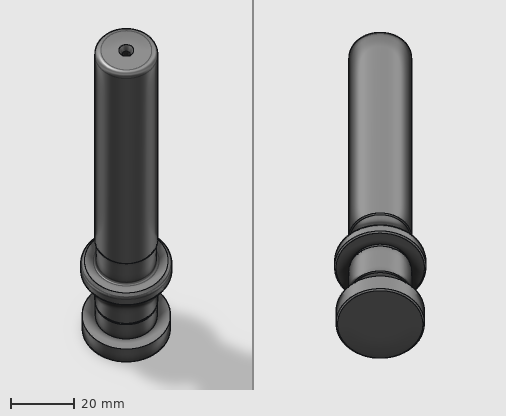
import cadquery as cq
import math

total_height = 139.0
shank_radius = 10.0
edge_chamfer = 0.5

disc_radius = 14.0
disc_height = 7.0
hub_radius = 9.9
retainer_height = 14.0

neck_radius = 9.6
spigot_chamfer = 0.7
spigot_top = 27.5
flange_bottom = 29.0
flange_top = 34.0
flange_radius = 14.53
flange_chamfer = 1.3
flange_rounding = 1.3
flange_root_fillet = 0.8
shank_bottom = 44.2
tip_fillet = 2.0

centre_mouth_radius = 2.4
centre_drill_radius = 1.3
centre_cone_angle = 60.0
centre_drill_depth = 5.0
drill_point_angle = 120.0


def cylinder(radius, bottom, top):
    """Upright cylinder on the Z axis."""
    return cq.Workplane("XY").workplane(offset=bottom).circle(radius).extrude(top - bottom)


def make_retainer():
    disc = cylinder(disc_radius, 0, disc_height).faces("<Z").edges().chamfer(edge_chamfer)
    return disc.union(cylinder(hub_radius, disc_height, retainer_height))


def make_flange():
    """Flange with a chamfered lower edge and a bevelled upper edge blended into its side."""
    flange = cylinder(flange_radius, flange_bottom, flange_top)
    flange = flange.faces("<Z").edges().chamfer(edge_chamfer)
    flange = flange.faces(">Z").edges().chamfer(flange_chamfer)
    side_wall = flange.faces("%CYLINDER")
    return side_wall.edges(">Z").fillet(flange_rounding)


def make_root_fillet():
    """Concave ring blending the flange top into the neck."""
    outer = neck_radius + flange_root_fillet
    upper = flange_top + flange_root_fillet
    sag = flange_root_fillet * (1 - math.sqrt(0.5))
    return (
        cq.Workplane("XZ")
        .moveTo(0, flange_top)
        .lineTo(outer, flange_top)
        .threePointArc((neck_radius + sag, flange_top + sag), (neck_radius, upper))
        .lineTo(0, upper)
        .close()
        .revolve(360, (0, 0, 0), (0, 1, 0))
    )


def make_centre_hole():
    """Conical mouth leading into a drill hole with a pointed end."""
    cone_depth = (centre_mouth_radius - centre_drill_radius) / math.tan(math.radians(centre_cone_angle / 2))
    point_depth = centre_drill_radius / math.tan(math.radians(drill_point_angle / 2))
    drill_bottom = total_height - centre_drill_depth
    return (
        cq.Workplane("XZ")
        .moveTo(0, total_height)
        .lineTo(centre_mouth_radius, total_height)
        .lineTo(centre_drill_radius, total_height - cone_depth)
        .lineTo(centre_drill_radius, drill_bottom)
        .lineTo(0, drill_bottom - point_depth)
        .close()
        .revolve(360, (0, 0, 0), (0, 1, 0))
    )


def make_guide_pin():
    spigot = cylinder(shank_radius, retainer_height, spigot_top)
    spigot = spigot.faces("<Z").edges().chamfer(spigot_chamfer)
    neck = cylinder(neck_radius, spigot_top, shank_bottom)
    shank = cylinder(shank_radius, shank_bottom, total_height)
    shank = shank.faces(">Z").edges().fillet(tip_fillet)
    shank = shank.faces("<Z").edges().chamfer(shank_radius - neck_radius)
    pin = spigot.union(neck).union(make_flange()).union(make_root_fillet()).union(shank)
    return pin.cut(make_centre_hole())


retainer = make_retainer()
guide_pin = make_guide_pin()

result = cq.Compound.makeCompound([retainer.val(), guide_pin.val()])